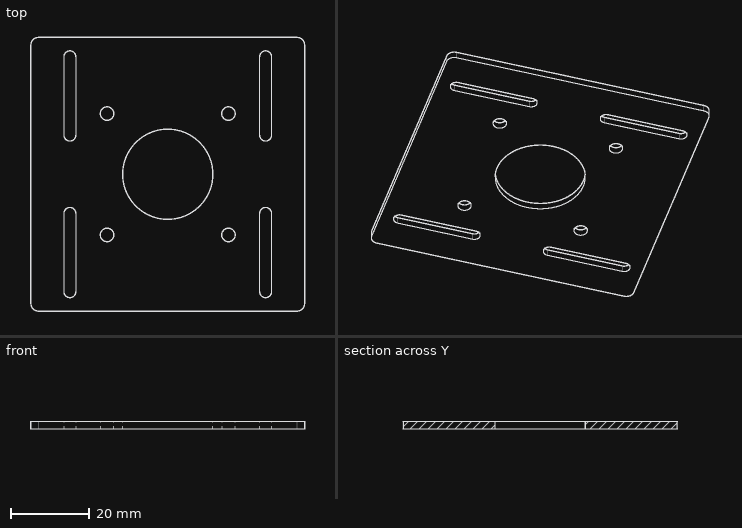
import cadquery as cq

plate_side = 70.0
plate_thickness = 2.0
corner_radius = 2.0

pilot_diameter = 23.0
screw_diameter = 3.4
screw_spacing = 31.0

slot_width = 3.0
slot_length = 23.0
slot_spacing_x = 50.0
slot_spacing_y = 40.0


def make_plate():
    """Square plate with rounded corners, resting on Z = 0."""
    return (
        cq.Workplane("XY")
        .rect(plate_side, plate_side)
        .extrude(plate_thickness)
        .edges("|Z")
        .fillet(corner_radius)
    )


def cut_motor_holes(plate):
    """Central pilot hole with four screw holes around it."""
    return (
        plate.faces(">Z")
        .workplane(origin=(0, 0, 0))
        .hole(pilot_diameter)
        .faces(">Z")
        .workplane(origin=(0, 0, 0))
        .rect(screw_spacing, screw_spacing, forConstruction=True)
        .vertices()
        .hole(screw_diameter)
    )


def cut_slots(plate):
    """Four round-ended through slots, one near each corner."""
    return (
        plate.faces(">Z")
        .workplane(origin=(0, 0, 0))
        .rect(slot_spacing_x, slot_spacing_y, forConstruction=True)
        .vertices()
        .slot2D(slot_length, slot_width, angle=90)
        .cutThruAll()
    )


result = cut_slots(cut_motor_holes(make_plate()))